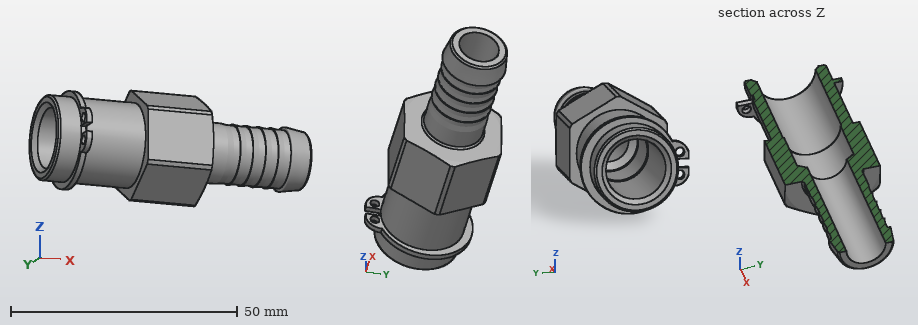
import cadquery as cq

length = 61.0
hex_start = 20.45
hex_end = 35.9

socket_diameter = 19.0
socket_chamfer = 0.4

hex_flats = 22.0
hex_corners = 24.8
hex_chamfer_length = 0.3

neck_diameter = 13.5
neck_flare = 0.4
root_diameter = 13.0
barb_start = 41.0
barb_pitch = 3.0
barb_count = 5
barb_taper_length = 1.45
tip_start = barb_start + barb_count * barb_pitch
tip_diameter = 14.5
tip_end_diameter = 13.0
tip_crest_radius = 0.25
end_chamfer = 0.4

through_diameter = 9.0
mouth_diameter = 15.6
bore_diameter = 13.5
inner_bore_diameter = 13.0
seat_diameter = 12.5
inner_bore_start = hex_start
inner_bore_end = 30.5
bore_cone_length = 1.15

ring_start = 5.25
ring_thickness = 1.3
groove_diameter = 18.0
ring_radius = 10.9
ring_offset = 0.55
ring_gap = 2.0
lug_tip = -12.8
lug_tip_height = 2.45
lug_root = (-9.1, 5.0)
lug_shoulder = (-11.85, 4.1)
lug_hole_diameter = 2.0
lug_hole_y = -10.8
lug_hole_z = 2.55


def revolve_profile(points):
    """Revolve a closed (x, radius) outline about the X axis."""
    outline = cq.Workplane("XY").polyline(points).close()
    return outline.revolve(360, (0, 0, 0), (1, 0, 0))


def plane_at(x):
    """YZ workplane at the given X position."""
    return cq.Workplane("YZ", origin=(x, 0, 0))


def make_socket():
    socket = plane_at(0).circle(socket_diameter / 2).extrude(hex_start)
    socket = socket.faces("<X").chamfer(socket_chamfer)
    groove = plane_at(ring_start).circle(socket_diameter / 2).circle(groove_diameter / 2)
    return socket.cut(groove.extrude(ring_thickness))


def make_hexagon():
    hexagon = plane_at(hex_start).polygon(6, hex_flats, circumscribed=True)
    hexagon = hexagon.extrude(hex_end - hex_start)
    turned_envelope = revolve_profile([
        (hex_start, 0),
        (hex_start, hex_corners / 2),
        (hex_end - hex_chamfer_length, hex_corners / 2),
        (hex_end, hex_flats / 2),
        (hex_end, 0),
    ])
    return hexagon.intersect(turned_envelope)


def make_hose_tail():
    neck_radius = neck_diameter / 2
    root_radius = root_diameter / 2
    tip_end_radius = tip_end_diameter / 2
    points = [
        (hex_end, 0),
        (hex_end, neck_radius + neck_flare),
        (hex_end + neck_flare, neck_radius),
    ]
    for index in range(barb_count):
        crest = barb_start + index * barb_pitch
        if index > 0:
            points.append((crest, root_radius))
        points.append((crest, neck_radius))
        points.append((crest + barb_taper_length, root_radius))
    points += [
        (tip_start, root_radius),
        (tip_start, tip_diameter / 2),
        (length - end_chamfer, tip_end_radius),
        (length, tip_end_radius - end_chamfer),
        (length, 0),
    ]
    tail = revolve_profile(points)
    crest_edge = cq.selectors.RadiusNthSelector(-1)
    return tail.edges("%CIRCLE").edges(crest_edge).fillet(tip_crest_radius)


def make_bore():
    mouth_depth = (mouth_diameter - bore_diameter) / 2
    bore_step = (bore_diameter - inner_bore_diameter) / 2
    return revolve_profile([
        (0, 0),
        (0, mouth_diameter / 2),
        (mouth_depth, bore_diameter / 2),
        (inner_bore_start, bore_diameter / 2),
        (inner_bore_start + bore_step, inner_bore_diameter / 2),
        (inner_bore_end, inner_bore_diameter / 2),
        (inner_bore_end, seat_diameter / 2),
        (inner_bore_end + bore_cone_length, through_diameter / 2),
        (length, through_diameter / 2),
        (length, 0),
    ])


def make_retaining_ring():
    plane = plane_at(ring_start)
    ring = plane.center(ring_offset, 0).circle(ring_radius).extrude(ring_thickness)
    lugs = (
        plane.moveTo(*lug_root)
        .threePointArc(lug_shoulder, (lug_tip, lug_tip_height))
        .lineTo(lug_tip, -lug_tip_height)
        .threePointArc((lug_shoulder[0], -lug_shoulder[1]), (lug_root[0], -lug_root[1]))
        .close()
        .extrude(ring_thickness)
    )
    gap = plane.center(lug_tip / 2, 0).rect(-lug_tip, ring_gap).extrude(ring_thickness)
    holes = (
        plane.pushPoints([(lug_hole_y, lug_hole_z), (lug_hole_y, -lug_hole_z)])
        .circle(lug_hole_diameter / 2)
        .extrude(ring_thickness)
    )
    inside = plane.circle(groove_diameter / 2).extrude(ring_thickness)
    return ring.union(lugs).cut(gap).cut(holes).cut(inside)


body = make_socket().union(make_hexagon()).union(make_hose_tail())
result = body.union(make_retaining_ring()).cut(make_bore())